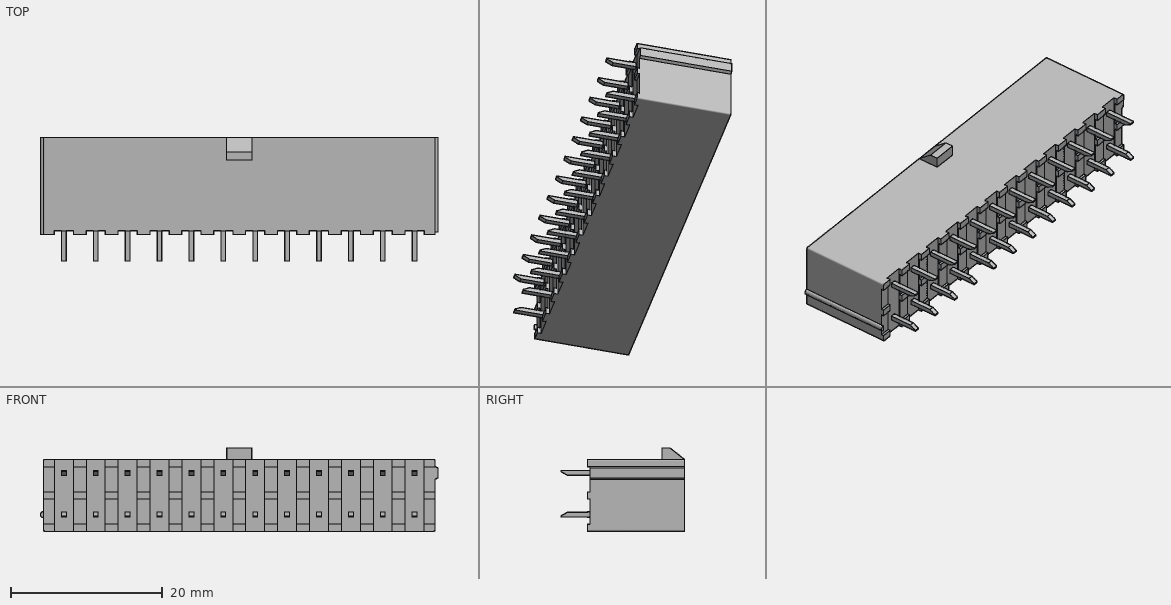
import cadquery as cq
import math

columns = 12
column_pitch = 4.2
row_pitch = 5.5
row_offset = 0.22

housing_length = 51.6
housing_height = 9.5
housing_depth = 12.8
edge_radius = 0.23

channel_width = 2.5
channel_depth = 0.5
pad_height = 0.97
pad_relief = 0.33

pin_size = 0.64
pin_tip_y = -16.3
pin_tip_thickness = 0.16
pin_taper_length = 0.85

latch_width = 3.3
latch_depth = 3.0
latch_height = 1.5
latch_ramp_length = 1.9

left_rib_radius = 0.4
right_rib_height = 1.7
right_rib_outer_height = 1.3
right_rib_projection = 0.4

front_y = -housing_depth
half_length = housing_length / 2
mid_z = housing_height / 2
upper_row_z = mid_z + row_offset + row_pitch / 2
lower_row_z = upper_row_z - row_pitch
column_xs = [(i - (columns - 1) / 2) * column_pitch for i in range(columns)]


def make_box(x_range, y_range, z_range):
    """Box spanning the given (low, high) range on each axis."""
    ranges = (x_range, y_range, z_range)
    size = [high - low for low, high in ranges]
    corner = [low for low, high in ranges]
    return cq.Workplane("XY").box(*size, centered=False).translate(tuple(corner))


def make_housing():
    """Solid block with its four long side edges rounded."""
    block = make_box((-half_length, half_length), (front_y, 0), (0, housing_height))
    return block.edges("|Y").fillet(edge_radius)


def cut_pad_reliefs(body):
    """Step the contact face back between the bottom, middle and top pads."""
    middle_pad_bottom = mid_z - pad_height / 2
    middle_pad_top = mid_z + pad_height / 2
    gaps = ((pad_height, middle_pad_bottom), (middle_pad_top, housing_height - pad_height))
    for gap in gaps:
        relief = make_box((-half_length, half_length), (front_y, front_y + pad_relief), gap)
        body = body.cut(relief)
    return body


def cut_channels(body):
    """Full-height vertical channel along every contact column."""
    for x in column_xs:
        channel = make_box(
            (x - channel_width / 2, x + channel_width / 2),
            (front_y, front_y + channel_depth),
            (0, housing_height),
        )
        body = body.cut(channel)
    return body


def make_latch():
    """Wedge rising from the rear edge of the top face to a flat crest."""
    top = housing_height
    profile = [
        (0, top),
        (-latch_ramp_length, top + latch_height),
        (-latch_depth, top + latch_height),
        (-latch_depth, top),
    ]
    return cq.Workplane("YZ").polyline(profile).close().extrude(latch_width / 2, both=True)


def make_left_rib():
    """Half-round rib on the -X side, as long as the housing: two quarter arcs that meet at the crest."""
    diagonal = left_rib_radius * math.sqrt(0.5)
    crest = (-half_length - left_rib_radius, lower_row_z)
    return (
        cq.Workplane("XZ")
        .moveTo(-half_length, lower_row_z - left_rib_radius)
        .threePointArc((-half_length - diagonal, lower_row_z - diagonal), crest)
        .threePointArc(
            (-half_length - diagonal, lower_row_z + diagonal),
            (-half_length, lower_row_z + left_rib_radius),
        )
        .close()
        .extrude(housing_depth)
    )


def make_right_rib():
    """Trapezoidal rib on the +X side, level with the upper contacts, ending at the relief step."""
    outer_x = half_length + right_rib_projection
    profile = [
        (half_length, upper_row_z - right_rib_height / 2),
        (outer_x, upper_row_z - right_rib_outer_height / 2),
        (outer_x, upper_row_z + right_rib_outer_height / 2),
        (half_length, upper_row_z + right_rib_height / 2),
    ]
    return cq.Workplane("XZ").polyline(profile).close().extrude(housing_depth - pad_relief)


def make_pin(x, z, flat_side):
    """Square pin whose tip tapers toward its flat side: +1 for the top, -1 for the bottom."""
    root_y = front_y + channel_depth
    flat_z = z + flat_side * pin_size / 2
    tapered_z = z - flat_side * pin_size / 2
    profile = [
        (root_y, flat_z),
        (pin_tip_y, flat_z),
        (pin_tip_y, flat_z - flat_side * pin_tip_thickness),
        (pin_tip_y + pin_taper_length, tapered_z),
        (root_y, tapered_z),
    ]
    pin = cq.Workplane("YZ").polyline(profile).close().extrude(pin_size / 2, both=True)
    return pin.translate((x, 0, 0))


body = cut_channels(cut_pad_reliefs(make_housing()))
body = body.union(make_latch()).union(make_left_rib()).union(make_right_rib())
for column_x in column_xs:
    body = body.union(make_pin(column_x, upper_row_z, 1))
    body = body.union(make_pin(column_x, lower_row_z, -1))

result = body